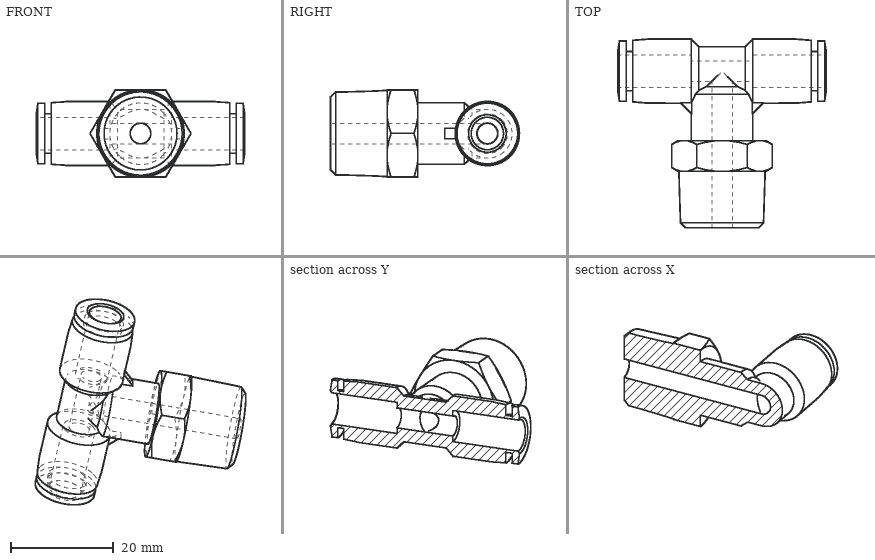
import cadquery as cq
import math


run_radius = 6.25
waist_radius = 4.75
waist_half_length = 4.5
shoulder_x = waist_half_length + (run_radius - waist_radius)
taper_start_x = 14.3
rim_start_x = 16.3
rim_start_radius = 6.1
body_end_x = 17.4
body_end_radius = 6.0

sleeve_neck_radius = 3.85
flange_inner_x = 18.6
flange_outer_x = 19.95
flange_radius = 5.9
sleeve_end_x = 20.3
mouth_radius = 3.65
mouth_chamfer_depth = 0.3

bore_radius = 2.0
socket_radius = 3.15
socket_bottom_x = shoulder_x

stem_radius = 6.0
stem_cone_start = 3.0
stem_cone_end = 4.5

gusset_leg = 2.0
gusset_thickness = 2.0

hex_sides = 6
hex_across_flats = 17.0
hex_start = 13.5
hex_end = 19.5
hex_chamfer_angle = 30.0

branch_end = 30.5
thread_chamfer = 1.0
thread_end_radius = 8.1
thread_taper = 1 / 16


def revolve_run_side(side):
    """Half of the run with its release sleeve; side is +1 or -1 along X."""
    profile = [
        (0, 0),
        (0, waist_radius),
        (waist_half_length, waist_radius),
        (shoulder_x, run_radius),
        (taper_start_x, run_radius),
        (rim_start_x, rim_start_radius),
        (body_end_x, body_end_radius),
        (body_end_x, sleeve_neck_radius),
        (flange_inner_x, sleeve_neck_radius),
        (flange_inner_x, flange_radius),
        (flange_outer_x, flange_radius),
        (sleeve_end_x, mouth_radius),
        (sleeve_end_x, 0),
    ]
    points = [(side * x, radius) for x, radius in profile]
    return cq.Workplane("XY").polyline(points).close().revolve(360, (0, 0), (1, 0))


def revolve_socket(side):
    """Tube socket with a chamfered mouth, opening at one end of the run."""
    profile = [
        (socket_bottom_x, 0),
        (socket_bottom_x, socket_radius),
        (sleeve_end_x - mouth_chamfer_depth, socket_radius),
        (sleeve_end_x, mouth_radius),
        (sleeve_end_x, 0),
    ]
    points = [(side * x, radius) for x, radius in profile]
    return cq.Workplane("XY").polyline(points).close().revolve(360, (0, 0), (1, 0))


def revolve_branch(profile):
    """Solid of revolution about the branch axis from (radius, distance) pairs."""
    points = [(radius, -distance) for radius, distance in profile]
    return cq.Workplane("XY").polyline(points).close().revolve(360, (0, 0), (0, 1))


def make_stem():
    return revolve_branch([
        (0, 0),
        (waist_radius, 0),
        (waist_radius, stem_cone_start),
        (stem_radius, stem_cone_end),
        (stem_radius, hex_start),
        (0, hex_start),
    ])


def make_hexagon():
    """Hexagon with corners along X, both ends chamfered down to the flats."""
    corner_radius = hex_across_flats / 2 / math.cos(math.pi / hex_sides)
    flat_radius = hex_across_flats / 2
    prism = (
        cq.Workplane("XZ", origin=(0, -hex_start, 0))
        .polygon(hex_sides, 2 * corner_radius)
        .extrude(hex_end - hex_start)
    )
    chamfer_drop = (corner_radius - flat_radius) * math.tan(math.radians(hex_chamfer_angle))
    envelope = revolve_branch([
        (0, hex_start),
        (flat_radius, hex_start),
        (corner_radius, hex_start + chamfer_drop),
        (corner_radius, hex_end - chamfer_drop),
        (flat_radius, hex_end),
        (0, hex_end),
    ])
    return prism.intersect(envelope)


def make_thread():
    chamfer_start = branch_end - thread_chamfer
    thread_start_radius = thread_end_radius + (chamfer_start - hex_end) * thread_taper / 2
    return revolve_branch([
        (0, hex_end),
        (thread_start_radius, hex_end),
        (thread_end_radius, chamfer_start),
        (thread_end_radius - thread_chamfer, branch_end),
        (0, branch_end),
    ])


def make_gusset(side):
    """Small 45 degree web in the corner between the stem and the run."""
    return (
        cq.Workplane("XY")
        .polyline([
            (0, 0),
            (side * (stem_radius + gusset_leg), 0),
            (side * (stem_radius + gusset_leg), -run_radius),
            (side * stem_radius, -(run_radius + gusset_leg)),
            (0, -(run_radius + gusset_leg)),
        ])
        .close()
        .extrude(gusset_thickness / 2, both=True)
    )


def make_bores():
    run_bore = cq.Workplane("YZ").circle(bore_radius).extrude(sleeve_end_x, both=True)
    branch_bore = cq.Workplane("XZ").circle(bore_radius).extrude(branch_end)
    return run_bore.union(branch_bore)


result = make_stem().union(make_hexagon()).union(make_thread())
for side in (-1, 1):
    result = result.union(revolve_run_side(side)).union(make_gusset(side))
for side in (-1, 1):
    result = result.cut(revolve_socket(side))
result = result.cut(make_bores())